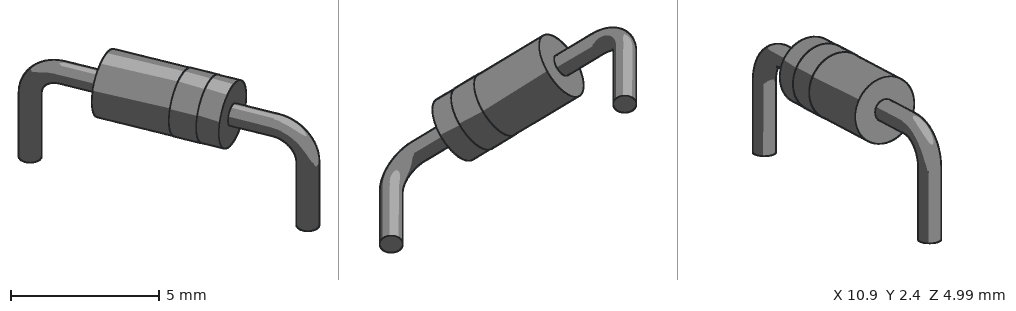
import cadquery as cq

lead_diameter = 0.79
lead_pitch = 10.16
bend_radius = 1.5 * lead_diameter
lead_bottom_z = -3.79

body_diameter = 2.38
body_length = 4.65

band_diameter = 2.4
band_width = 1.0
band_end_gap = 0.825


def cylinder_along_x(diameter, length, start_x):
    return cq.Workplane("YZ", origin=(start_x, 0, 0)).circle(diameter / 2).extrude(length)


def make_body():
    body = cylinder_along_x(body_diameter, body_length, -body_length / 2)
    band_start_x = body_length / 2 - band_end_gap - band_width
    band = cylinder_along_x(band_diameter, band_width, band_start_x)
    return body.union(band)


def make_lead():
    """Lead on the +X side, swept from the body's end face to the lower tip."""
    body_end_x = body_length / 2
    leg_x = lead_pitch / 2
    bend_start_x = leg_x - bend_radius
    path = (
        cq.Workplane("XZ")
        .moveTo(body_end_x, 0)
        .lineTo(bend_start_x, 0)
        .tangentArcPoint((leg_x, -bend_radius), relative=False)
        .lineTo(leg_x, lead_bottom_z)
    )
    section = cq.Workplane("YZ", origin=(body_end_x, 0, 0)).circle(lead_diameter / 2)
    return section.sweep(path)


lead = make_lead()
result = make_body().union(lead).union(lead.mirror("YZ"))